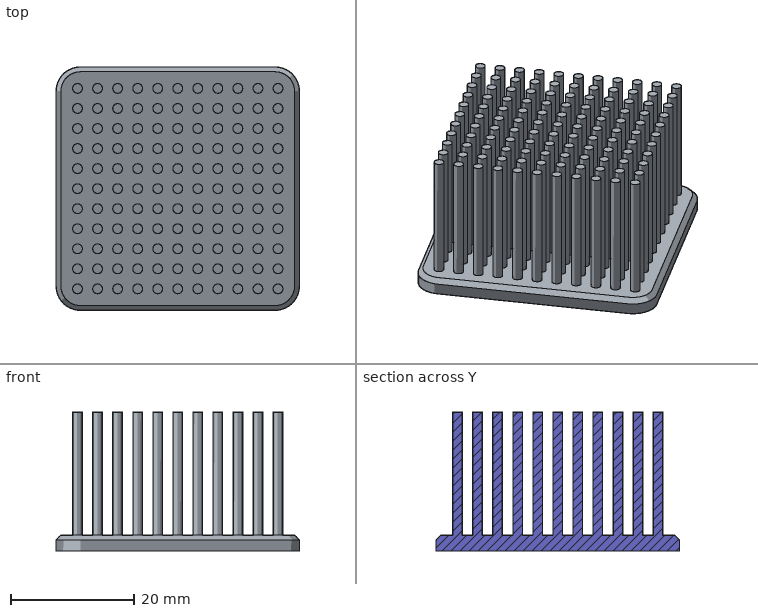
import cadquery as cq

plate_side = 39.6
plate_thickness = 2.6
corner_radius = 4.0
edge_chamfer = 0.8

pins_per_side = 11
pin_grid_span = 32.6
pin_pitch = pin_grid_span / (pins_per_side - 1)
pin_diameter = 1.6
pin_height = 20.0


def make_plate():
    """Rounded square plate, bottom at Z = 0, with its top rim chamfered."""
    plate = cq.Workplane("XY").rect(plate_side, plate_side).extrude(plate_thickness)
    plate = plate.edges("|Z").fillet(corner_radius)
    return plate.faces(">Z").edges().chamfer(edge_chamfer)


def add_pins(plate):
    """Stand the centred grid of pins on the top of the plate."""
    return (
        plate.faces(">Z")
        .workplane(origin=(0, 0, plate_thickness))
        .rarray(pin_pitch, pin_pitch, pins_per_side, pins_per_side)
        .circle(pin_diameter / 2)
        .extrude(pin_height)
    )


result = add_pins(make_plate())